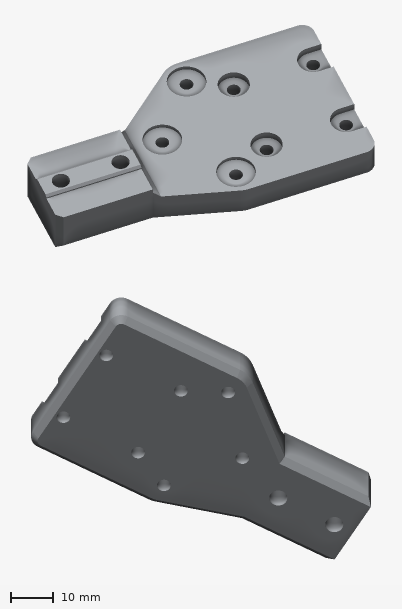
import cadquery as cq

total_length = 78.25
total_width = 42.2
total_height = 12.4

plate_right = 16.2
plate_left = plate_right - total_width
plate_height = 8.8
left_taper_start = 42.65
right_taper_start = 44.6
rear_corner_radius = 3.0
taper_corner_radius = 6.65
bottom_chamfer = 1.5

neck_width = 19.95
neck_length = 23.95
neck_height = 11.5
neck_half = neck_width / 2
neck_corner_chamfer = 1.5
ramp_length = 1.9
ramp_rise = 1.65
rail_width = 6.25
rail_chamfer_drop = 0.5
rail_chamfer_inset = 0.6

screw_diameter = 3.2
neck_hole_diameter = 4.2
neck_hole_ys = (4.9, 19.95)
small_bore_diameter = 7.5
small_bore_depth = 1.9
large_bore_diameter = 9.2
large_bore_depth = 1.0
grid_spacing = 20.0
grid_left = -14.9
grid_xs = (grid_left, grid_left + grid_spacing)
rear_row_y = 74.65
front_row_y = rear_row_y - grid_spacing
large_bore_points = [(-19.95, 44.8), (10.2, 44.8), (-5.55, 32.8)]


def outline_prism(height):
    """Full plan outline, plate and neck together, extruded up from Z = 0."""
    prism = (
        cq.Workplane("XY")
        .moveTo(-neck_half, 0)
        .lineTo(neck_half, 0)
        .lineTo(neck_half, neck_length)
        .lineTo(plate_right, right_taper_start)
        .lineTo(plate_right, total_length)
        .lineTo(plate_left, total_length)
        .lineTo(plate_left, left_taper_start)
        .lineTo(-neck_half, neck_length)
        .close()
        .extrude(height)
    )
    prism = prism.edges("|Z and >Y").fillet(rear_corner_radius)
    for x, y in ((plate_left, left_taper_start), (plate_right, right_taper_start)):
        corner = cq.selectors.NearestToPointSelector((x, y, height / 2))
        prism = prism.edges(corner).fillet(taper_corner_radius)
    prism = prism.faces("<Z").edges("not <Y").chamfer(bottom_chamfer)
    return prism


def side_profile():
    """Neck, ramp and plate heights, as a prism across the full width."""
    return (
        cq.Workplane("YZ", origin=(plate_left, 0, 0))
        .moveTo(0, 0)
        .lineTo(0, neck_height)
        .lineTo(neck_length, neck_height)
        .lineTo(neck_length, plate_height + ramp_rise)
        .lineTo(neck_length + ramp_length, plate_height)
        .lineTo(total_length, plate_height)
        .lineTo(total_length, 0)
        .close()
        .extrude(total_width)
    )


def rail():
    """Rail along the neck with chamfered upper edges."""
    half_width = rail_width / 2
    top_half_width = half_width - rail_chamfer_inset
    shoulder_height = total_height - rail_chamfer_drop
    return (
        cq.Workplane("XZ")
        .moveTo(-half_width, neck_height)
        .lineTo(-half_width, shoulder_height)
        .lineTo(-top_half_width, total_height)
        .lineTo(top_half_width, total_height)
        .lineTo(half_width, shoulder_height)
        .lineTo(half_width, neck_height)
        .close()
        .extrude(-neck_length)
    )


def drill(points, diameter, bottom=0):
    """Vertical cylinders at the points, from the given bottom to above the part."""
    cylinders = cq.Workplane("XY", origin=(0, 0, bottom)).pushPoints(points)
    return cylinders.circle(diameter / 2).extrude(total_height - bottom)


body = outline_prism(neck_height).intersect(side_profile())
for side in (-1, 1):
    corner = cq.selectors.NearestToPointSelector((side * neck_half, 0, neck_height / 2))
    body = body.edges(corner).chamfer(neck_corner_chamfer)
body = body.union(rail())

rear_points = [(x, rear_row_y) for x in grid_xs]
grid_points = rear_points + [(x, front_row_y) for x in grid_xs]
body = body.cut(drill(grid_points + large_bore_points, screw_diameter))
body = body.cut(drill([(0, y) for y in neck_hole_ys], neck_hole_diameter))

small_bore_floor = plate_height - small_bore_depth
body = body.cut(drill(grid_points, small_bore_diameter, small_bore_floor))
body = body.cut(drill(large_bore_points, large_bore_diameter, plate_height - large_bore_depth))

for x, y in rear_points:
    opening = cq.Workplane("XY", origin=(x, y, small_bore_floor)).box(
        small_bore_diameter, total_length - y, small_bore_depth, centered=(True, False, False)
    )
    body = body.cut(opening)

result = body